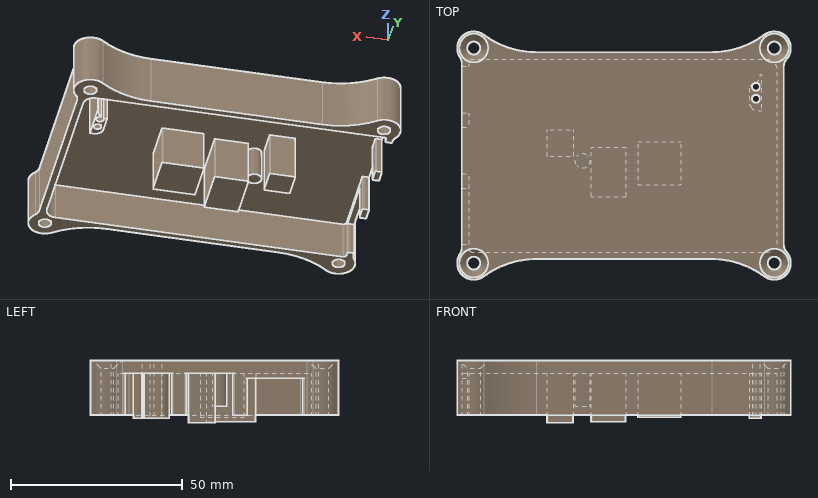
import cadquery as cq
import math

length = 97.3
width = 72.4
wall_height = 16.0
total_height = 18.2
roof_thickness = 3.7
wall_thickness = 2.0
open_wall_x = 47.3
closed_wall_x = 46.6
half_body_y = 30.2
open_end_corner_radius = 1.0
closed_end_corner_radius = 3.1
wall_blend_radius = 3.0

boss_radius = 4.9
boss_x = length / 2 - boss_radius
boss_y = width / 2 - boss_radius
screw_hole_diameter = 3.7
countersink_diameter = 8.4
countersink_angle = 90

flare_start_x = 25.6

connector_openings = [
    (12.45, 26.1, roof_thickness),
    (-5.35, 8.3, roof_thickness),
    (-25.8, -9.5, 5.2),
]
post_edge_radius = 0.34
pad_edge_radius = 0.24

heat_pads = [
    (-22.5, -14.8, -0.2, 7.6, total_height - wall_height),
    (-9.6, 0.5, -12.0, 2.4, 1.9),
    (4.0, 16.5, -8.5, 4.1, 0.7),
]

pin_diameter = 4.3
pin_x = -12.2
pin_y = -1.5
pin_length = 13.4

guide_min_x = 36.5
guide_max_x = 40.0
guide_min_y = 13.1
guide_max_y = 23.6
guide_drop = 1.0
guide_corner_radius = 2.4
guide_relief_radius = 3.1
light_hole_diameter = 2.2
light_hole_x = 38.4
light_hole_y = (16.5, 20.0)

roof_z = wall_height - roof_thickness


def box(min_x, max_x, min_y, max_y, min_z, max_z):
    """Axis-aligned box given by its limits."""
    size = (max_x - min_x, max_y - min_y, max_z - min_z)
    return cq.Workplane("XY").box(*size, centered=False).translate((min_x, min_y, min_z))


def at_corners(sketch_plane):
    """Place points on the axes of the four bosses."""
    return sketch_plane.rect(2 * boss_x, 2 * boss_y, forConstruction=True).vertices()


def corner_outline(end_wall_x):
    """Points of the +X +Y quarter: wall blend, boss and flare, from the end wall to the +Y wall."""
    blend_center_x = end_wall_x + wall_blend_radius
    blend_reach = boss_radius + wall_blend_radius
    blend_angle = -math.acos((blend_center_x - boss_x) / blend_reach)
    blend_center_y = boss_y + blend_reach * math.sin(blend_angle)
    blend_start = (end_wall_x, blend_center_y)
    blend_mid_angle = math.pi + blend_angle / 2
    blend_mid = (
        blend_center_x + wall_blend_radius * math.cos(blend_mid_angle),
        blend_center_y + wall_blend_radius * math.sin(blend_mid_angle),
    )

    run = boss_x - flare_start_x
    rise = boss_y - half_body_y
    flare_radius = (run**2 + rise**2 - boss_radius**2) / (2 * (boss_radius + rise))
    flare_center_y = half_body_y + flare_radius
    flare_angle = math.atan2(flare_center_y - boss_y, -run)
    flare_mid_angle = (flare_angle - 3 * math.pi / 2) / 2
    flare_mid = (
        flare_start_x + flare_radius * math.cos(flare_mid_angle),
        flare_center_y + flare_radius * math.sin(flare_mid_angle),
    )

    def on_boss(angle):
        return (boss_x + boss_radius * math.cos(angle), boss_y + boss_radius * math.sin(angle))

    boss_mid = on_boss((blend_angle + flare_angle) / 2)
    flare_end = (flare_start_x, half_body_y)
    return [blend_start, blend_mid, on_boss(blend_angle), boss_mid, on_boss(flare_angle), flare_mid, flare_end]


def make_quarter(end_wall_x):
    """Solid +X +Y quarter of the block whose end wall stands at end_wall_x."""
    start, blend_mid, blend_end, boss_mid, boss_end, flare_mid, flare_end = corner_outline(end_wall_x)
    return (
        cq.Workplane("XY")
        .moveTo(0, 0)
        .lineTo(end_wall_x, 0)
        .lineTo(*start)
        .threePointArc(blend_mid, blend_end)
        .threePointArc(boss_mid, boss_end)
        .threePointArc(flare_mid, flare_end)
        .lineTo(0, half_body_y)
        .close()
        .extrude(wall_height)
    )


def make_body():
    """Solid block with flared corners, mirrored about the XZ plane."""
    half = make_quarter(closed_wall_x).union(make_quarter(open_wall_x).mirror("YZ"))
    return half.union(half.mirror("XZ")).clean()


def make_cavity():
    """Rounded pocket that leaves the roof and the side walls."""
    min_x = wall_thickness - open_wall_x
    max_x = closed_wall_x - wall_thickness
    inner_y = half_body_y - wall_thickness
    pocket = box(min_x, max_x, -inner_y, inner_y, 0, roof_z)
    pocket = pocket.edges("|Z and <X").fillet(open_end_corner_radius)
    return pocket.edges("|Z and >X").fillet(closed_end_corner_radius)


def make_connector_opening(min_y, max_y, band_height):
    """Notch through the -X wall that leaves rounded upright edges on the posts beside it."""
    radius = post_edge_radius
    outer_x = -open_wall_x
    inner_x = outer_x + wall_thickness
    return (
        cq.Workplane("XY")
        .moveTo(outer_x, min_y - radius)
        .radiusArc((outer_x + radius, min_y), radius)
        .lineTo(inner_x - radius, min_y)
        .radiusArc((inner_x, min_y - radius), radius)
        .lineTo(inner_x, max_y + radius)
        .radiusArc((inner_x - radius, max_y), radius)
        .lineTo(outer_x + radius, max_y)
        .radiusArc((outer_x, max_y + radius), radius)
        .close()
        .extrude(wall_height - band_height)
    )


def make_heat_pad(min_x, max_x, min_y, max_y, drop):
    """Rectangular pad from the roof down, with rounded upright edges."""
    return box(min_x, max_x, min_y, max_y, -drop, roof_z).edges("|Z").fillet(pad_edge_radius)


def make_pin():
    bottom_z = wall_height - pin_length
    pin = cq.Workplane("XY").circle(pin_diameter / 2).extrude(roof_z - bottom_z)
    return pin.translate((pin_x, pin_y, bottom_z))


def make_light_guide():
    """Bar with one rounded corner and a round relief at its +Y end."""
    bar = box(guide_min_x, guide_max_x, guide_min_y, guide_max_y, -guide_drop, roof_z)
    bar = bar.edges("|Z and <X and <Y").fillet(guide_corner_radius)
    relief = cq.Workplane("XY").circle(guide_relief_radius).extrude(roof_z + guide_drop)
    return bar.cut(relief.translate((guide_min_x, guide_max_y, -guide_drop)))


result = make_body().cut(make_cavity())

for opening in connector_openings:
    result = result.cut(make_connector_opening(*opening))

for pad in heat_pads:
    result = result.union(make_heat_pad(*pad))

result = result.union(make_pin()).union(make_light_guide())

top_plane = cq.Workplane("XY").workplane(offset=wall_height)
countersink_ledge = (countersink_diameter - screw_hole_diameter) / 2
countersink_depth = countersink_ledge / math.tan(math.radians(countersink_angle / 2))
screw_holes = at_corners(top_plane).circle(screw_hole_diameter / 2).extrude(-wall_height)
countersinks = at_corners(top_plane).circle(countersink_diameter / 2).extrude(
    -countersink_depth, taper=countersink_angle / 2
)
result = result.cut(screw_holes).cut(countersinks)

light_holes = (
    top_plane.pushPoints([(light_hole_x, y) for y in light_hole_y])
    .circle(light_hole_diameter / 2)
    .extrude(-(wall_height + guide_drop))
)
result = result.cut(light_holes)